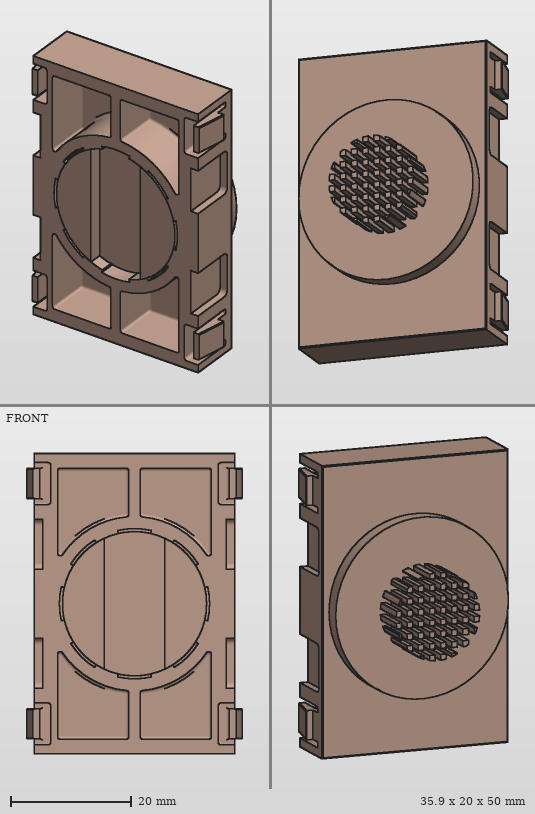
import cadquery as cq
import math

HOUSING_WIDTH = 33.4
HOUSING_HEIGHT = 50.0
HOUSING_DEPTH = 10.0
HOUSING_BACK_CHAMFER = 0.2
HALF_WIDTH = HOUSING_WIDTH / 2

BORE_DIAMETER = 24.0
BORE_RADIUS = BORE_DIAMETER / 2
RELIEF_COUNT = 8
RELIEF_DEPTH = 0.5
RELIEF_ANGLE = 26.0

POCKET_DEPTH = 8.5
POCKET_OUTER_X = 12.8
POCKET_OUTER_Z = 22.55
MIDDLE_RIB_WIDTH = 1.9
BORE_WALL_RADIUS = 14.5
POCKET_CORNER_RADIUS = 0.45
POCKET_FLOOR_FILLET = 0.5

SIDE_RECESS_CUT = 1.45
SIDE_RECESS_DEPTH = 8.5
SIDE_RECESS_HEIGHT = 8.3
SIDE_RECESS_Z = 9.9
SIDE_RECESS_RADIUS = 1.0

CLIP_Z = 20.0
CLIP_HEIGHT = 5.0
CLIP_THICKNESS = 0.9
CLIP_INNER_FLARE = 0.5
CLIP_END_FLARE = 0.2
CLEARANCE_CUT = 2.8
CLEARANCE_DEPTH = 8.0
CLEARANCE_HEIGHT = 7.0
CLEARANCE_CORNER_RADIUS = 0.55
CLEARANCE_FLOOR_FILLET = 0.25
BARB_REACH = 1.25
BARB_FRONT_REACH = 0.2
BARB_DEPTH = 5.85
BARB_CHAMFER = 0.15

FLANGE_DIAMETER = 31.0
FLANGE_THICKNESS = 3.0
GROOVE_WIDTH = 10.0
GROOVE_DEPTH = 2.5
PIN_FIELD_DIAMETER = 15.0
PIN_LENGTH = 7.0
PIN_PITCH = 2.0
PIN_WIDTH = 1.0


def box(x_range, y_range, z_range):
    """Axis-aligned box between the given limits."""
    (x0, x1), (y0, y1), (z0, z1) = x_range, y_range, z_range
    return cq.Workplane("XY").box(x1 - x0, y1 - y0, z1 - z0, centered=False).translate((x0, y0, z0))


def disc(diameter, y_start, length):
    """Cylinder along +Y, centred on the bore axis."""
    return cq.Workplane("XZ", origin=(0, y_start, 0)).circle(diameter / 2).extrude(-length)


def mirrored_quarters(quarter):
    """The +X +Z feature together with its three mirror images."""
    half = quarter.union(quarter.mirror("YZ"))
    return half.union(half.mirror("XY"))


def housing_block():
    """Plain block with chamfered back edges."""
    block = box(
        (-HALF_WIDTH, HALF_WIDTH), (0, HOUSING_DEPTH), (-HOUSING_HEIGHT / 2, HOUSING_HEIGHT / 2)
    )
    return block.faces(">Y").chamfer(HOUSING_BACK_CHAMFER)


def relief_slots():
    """Radial-sided slots reaching beyond the bore, running through the housing."""
    ring = disc(BORE_DIAMETER + 2 * RELIEF_DEPTH, 0, HOUSING_DEPTH)
    wedge_reach = BORE_DIAMETER
    wedge_half_width = wedge_reach * math.tan(math.radians(RELIEF_ANGLE / 2))
    wedge = (
        cq.Workplane("XZ")
        .polyline([(0, 0), (wedge_reach, wedge_half_width), (wedge_reach, -wedge_half_width)])
        .close()
        .extrude(-HOUSING_DEPTH)
    )
    sector = ring.intersect(wedge)
    slots = sector
    for i in range(1, RELIEF_COUNT):
        slots = slots.union(sector.rotate((0, 0, 0), (0, 1, 0), i * 360 / RELIEF_COUNT))
    return slots


def front_pocket():
    """Pocket bounded by straight outer walls and the round bore wall."""
    block = box((MIDDLE_RIB_WIDTH / 2, POCKET_OUTER_X), (0, POCKET_DEPTH), (0, POCKET_OUTER_Z))
    pocket = block.cut(disc(2 * BORE_WALL_RADIUS, 0, POCKET_DEPTH))
    pocket = pocket.edges("|Y").fillet(POCKET_CORNER_RADIUS)
    return pocket.faces(">Y").edges().fillet(POCKET_FLOOR_FILLET)


def side_recess():
    """Shallow recess with rounded back corners."""
    recess = box(
        (HALF_WIDTH - SIDE_RECESS_CUT, HALF_WIDTH),
        (0, SIDE_RECESS_DEPTH),
        (SIDE_RECESS_Z - SIDE_RECESS_HEIGHT / 2, SIDE_RECESS_Z + SIDE_RECESS_HEIGHT / 2),
    )
    return recess.faces(">Y").edges("|X").fillet(SIDE_RECESS_RADIUS)


def clip_stem():
    """Upright of a clip, flaring at its root on the inner side and both ends."""
    inner_x = HALF_WIDTH - CLIP_THICKNESS
    root_x = inner_x - CLIP_INNER_FLARE
    root_height = CLIP_HEIGHT + 2 * CLIP_END_FLARE
    inner_flare = (
        cq.Workplane("XY", origin=(0, 0, CLIP_Z - root_height / 2))
        .moveTo(HALF_WIDTH, 0)
        .lineTo(inner_x, 0)
        .lineTo(inner_x, CLEARANCE_DEPTH - CLIP_INNER_FLARE)
        .tangentArcPoint((root_x, CLEARANCE_DEPTH), relative=False)
        .lineTo(HALF_WIDTH, CLEARANCE_DEPTH)
        .close()
        .extrude(root_height)
    )
    end_flare = (
        cq.Workplane("YZ", origin=(root_x, 0, CLIP_Z))
        .lineTo(0, CLIP_HEIGHT / 2)
        .lineTo(CLEARANCE_DEPTH - CLIP_END_FLARE, CLIP_HEIGHT / 2)
        .tangentArcPoint((CLEARANCE_DEPTH, root_height / 2), relative=False)
        .lineTo(CLEARANCE_DEPTH, 0)
        .mirrorX()
        .extrude(HALF_WIDTH - root_x)
    )
    return inner_flare.intersect(end_flare)


def clip_clearance():
    """Recess around a clip, leaving the clip stem standing on its floor."""
    recess = box(
        (HALF_WIDTH - CLEARANCE_CUT, HALF_WIDTH),
        (0, CLEARANCE_DEPTH),
        (CLIP_Z - CLEARANCE_HEIGHT / 2, CLIP_Z + CLEARANCE_HEIGHT / 2),
    )
    recess = recess.faces("<X").edges("|Y").fillet(CLEARANCE_CORNER_RADIUS)
    recess = recess.faces(">Y").edges("not >X").fillet(CLEARANCE_FLOOR_FILLET)
    return recess.cut(clip_stem())


def clip_barb():
    """Wedge on the outer face of a clip stem, thickest near its back end."""
    tip = HALF_WIDTH + BARB_REACH
    barb = (
        cq.Workplane("XY", origin=(0, 0, CLIP_Z - CLIP_HEIGHT / 2))
        .moveTo(HALF_WIDTH, 0)
        .lineTo(HALF_WIDTH + BARB_FRONT_REACH, 0)
        .lineTo(tip, BARB_DEPTH - BARB_CHAMFER)
        .lineTo(tip - BARB_CHAMFER, BARB_DEPTH)
        .lineTo(HALF_WIDTH, BARB_DEPTH)
        .close()
        .extrude(CLIP_HEIGHT)
    )
    slope_middle = (
        HALF_WIDTH + (BARB_FRONT_REACH + BARB_REACH) / 2,
        (BARB_DEPTH - BARB_CHAMFER) / 2,
        CLIP_Z,
    )
    slope = barb.faces(cq.selectors.NearestToPointSelector(slope_middle))
    return slope.edges("not |Z").chamfer(BARB_CHAMFER)


def make_housing():
    """Housing body with its snap clips."""
    body = housing_block()
    body = body.cut(disc(BORE_DIAMETER, 0, HOUSING_DEPTH)).cut(relief_slots())
    for cutter in (front_pocket(), side_recess(), clip_clearance()):
        body = body.cut(mirrored_quarters(cutter))
    return body.union(mirrored_quarters(clip_barb()))


def pin_field():
    """Square pins on a grid, trimmed by a round outline."""
    y_start = HOUSING_DEPTH + FLANGE_THICKNESS
    field = disc(PIN_FIELD_DIAMETER, y_start, PIN_LENGTH)
    reach = PIN_FIELD_DIAMETER / 2
    gap = PIN_PITCH - PIN_WIDTH
    gaps_per_side = math.floor(reach / PIN_PITCH)
    for i in range(-gaps_per_side, gaps_per_side + 1):
        gap_range = (i * PIN_PITCH - gap / 2, i * PIN_PITCH + gap / 2)
        y_range = (y_start, y_start + PIN_LENGTH)
        field = field.cut(box(gap_range, y_range, (-reach, reach)))
        field = field.cut(box((-reach, reach), y_range, gap_range))
    return field


def make_insert():
    """Insert body: plug, flange and pins."""
    plug = disc(BORE_DIAMETER, 0, HOUSING_DEPTH)
    groove = box(
        (-GROOVE_WIDTH / 2, GROOVE_WIDTH / 2), (0, GROOVE_DEPTH), (-BORE_RADIUS, BORE_RADIUS)
    )
    flange = disc(FLANGE_DIAMETER, HOUSING_DEPTH, FLANGE_THICKNESS)
    return plug.cut(groove).union(flange).union(pin_field())


housing = make_housing()
insert = make_insert()
result = cq.Compound.makeCompound([housing.val(), insert.val()])